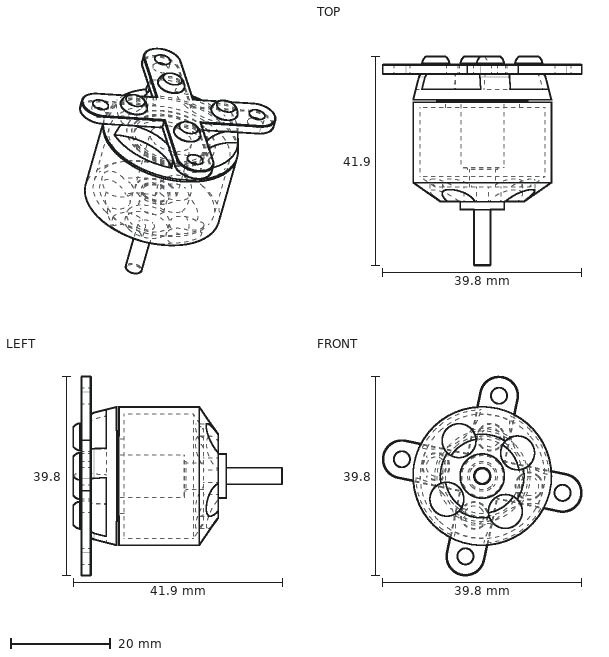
import cadquery as cq
import math


arm_tilt = 11.8
quarter_turns = [0, 90, 180, 270]

base_height = 5.1
base_front_radius = 13.85
base_edge_radius = 12.7
base_back_radius = 12.4
base_edge_height = 0.5
notch_radius = 10.0
notch_centre_radius = 18.45
notch_depth = 3.0
step_radius = 9.1
step_height = 0.15

air_gap = 0.45
neck_radius = 8.05
neck_bore_radius = 7.45
can_radius = base_front_radius
can_length = 16.1
cone_height = 3.8
nose_radius = 8.4
cavity_radius = 12.5
cap_thickness = 3.0
cap_inner_radius = 9.55
floor_thickness = 1.0
vent_radius = 3.4
vent_centre_radius = 8.45

hub_radius = 4.45
hub_height = 1.6
shaft_radius = 1.68
shaft_length = 11.25
shaft_chamfer = 0.15
tube_radius = 4.27
tube_drop = 6.8
tube_chamfer = 0.13
collar_radius = 2.97
collar_height = 0.3
core_radius = 2.65

mount_thickness = 2.0
arm_reach = 16.42
arm_half_width = 3.85
arm_hole_radius = 1.6
mount_edge_chamfer = 0.15

head_height = 1.6
head_radius = 2.75
head_foot_radius = 2.6
head_top_radius = 1.93
head_rim_height = 0.2
dome_bulge = 0.13
screw_radius_upright = 8.0
screw_radius_level = 9.5

base_front_y = -base_height
can_back_y = base_front_y - air_gap
can_shoulder_y = can_back_y - can_length
nose_y = can_shoulder_y - cone_height
hub_end_y = nose_y - hub_height
shaft_end_y = hub_end_y - shaft_length
cap_inner_y = nose_y + cap_thickness
cone_slope = cone_height / (can_radius - nose_radius)
cavity_shoulder_y = cap_inner_y + cone_slope * (cavity_radius - cap_inner_radius)
floor_y = can_back_y - floor_thickness
tube_end_y = nose_y + tube_drop


def turned(profile):
    """Solid of revolution about the Y axis; profile points are (radius, y)."""
    return cq.Workplane("XY").polyline(profile).close().revolve(360, (0, 0, 0), (0, 1, 0))


def cylinder(radius, y_back, y_front, centre=(0, 0)):
    """Cylinder along Y with its centre at (x, z)."""
    length = y_back - y_front
    disc = cq.Workplane("XZ", origin=(0, y_back, 0)).center(*centre).circle(radius)
    return disc.extrude(length)


def polar(radius, degrees_from_z):
    """(x, z) at an angle measured from +Z towards +X."""
    angle = math.radians(degrees_from_z)
    return radius * math.sin(angle), radius * math.cos(angle)


def make_base():
    base = turned([
        (0, 0),
        (base_back_radius, 0),
        (base_edge_radius, -base_edge_height),
        (base_front_radius, base_front_y),
        (step_radius, base_front_y),
        (step_radius, base_front_y - step_height),
        (0, base_front_y - step_height),
    ])
    for turn in quarter_turns:
        centre = polar(notch_centre_radius, arm_tilt + 45 + turn)
        base = base.cut(cylinder(notch_radius, 0, -notch_depth, centre))
    return base


def make_can():
    can = turned([
        (neck_bore_radius, base_front_y),
        (neck_radius, base_front_y),
        (neck_radius, can_back_y),
        (can_radius, can_back_y),
        (can_radius, can_shoulder_y),
        (nose_radius, nose_y),
        (0, nose_y),
        (0, cap_inner_y),
        (cap_inner_radius, cap_inner_y),
        (cavity_radius, cavity_shoulder_y),
        (cavity_radius, floor_y),
        (neck_bore_radius, floor_y),
    ])
    for turn in quarter_turns:
        centre = polar(vent_centre_radius, arm_tilt + 45 + turn)
        can = can.cut(cylinder(vent_radius, cavity_shoulder_y, nose_y, centre))
    return can


def make_core():
    """Hub, shaft and the stepped tube that joins the can to the base."""
    return turned([
        (0, base_front_y),
        (tube_radius, base_front_y),
        (tube_radius, tube_end_y + tube_chamfer),
        (tube_radius - tube_chamfer, tube_end_y),
        (collar_radius, tube_end_y),
        (collar_radius, tube_end_y - collar_height),
        (core_radius, tube_end_y - collar_height),
        (core_radius, nose_y),
        (hub_radius, nose_y),
        (hub_radius, hub_end_y),
        (shaft_radius, hub_end_y),
        (shaft_radius, shaft_end_y + shaft_chamfer),
        (shaft_radius - shaft_chamfer, shaft_end_y),
        (0, shaft_end_y),
    ])


def make_motor():
    return make_base().union(make_can()).union(make_core())


def make_mount():
    """Cross of two round-ended bars with a hole in each arm."""
    bar_length = 2 * (arm_reach + arm_half_width)
    plane = cq.Workplane("XZ", origin=(0, mount_thickness, 0))
    mount = plane.slot2D(bar_length, 2 * arm_half_width, -arm_tilt).extrude(mount_thickness)
    crossing = plane.slot2D(bar_length, 2 * arm_half_width, 90 - arm_tilt).extrude(mount_thickness)
    mount = mount.union(crossing)
    mount = mount.faces("<Y or >Y").chamfer(mount_edge_chamfer)
    for turn in quarter_turns:
        centre = polar(arm_reach, arm_tilt + turn)
        mount = mount.cut(cylinder(arm_hole_radius, mount_thickness, 0, centre))
    return mount


def make_screw(centre):
    """Domed screw head resting on the mount, at (x, z)."""
    dome_middle = (
        (head_radius + head_top_radius) / 2 + dome_bulge,
        (head_rim_height + head_height) / 2 + dome_bulge,
    )
    head = (
        cq.Workplane("XY")
        .lineTo(head_foot_radius, 0)
        .lineTo(head_radius, head_rim_height)
        .threePointArc(dome_middle, (head_top_radius, head_height))
        .lineTo(0, head_height)
        .close()
        .revolve(360, (0, 0, 0), (0, 1, 0))
    )
    x, z = centre
    return head.translate((x, mount_thickness, z))


motor = make_motor()
mount = make_mount()

screws = []
for turn in quarter_turns:
    screw_radius = screw_radius_upright if turn % 180 == 0 else screw_radius_level
    screws.append(make_screw(polar(screw_radius, arm_tilt + turn)))

result = cq.Compound.makeCompound([motor.val(), mount.val(), *[screw.val() for screw in screws]])